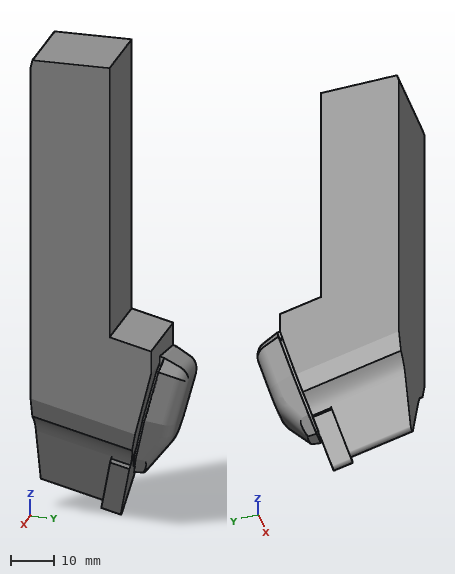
import cadquery as cq
import math

overall_length = 114.3
shank_width = 19.0
face_tilt = 14.0
tip_y = 19.1
heel_y = 28.9
step_z = 47.5

point_angle = 35.0
insert_circle_diameter = 9.5
insert_thickness = 4.8
insert_nose_radius = 0.8

point_tip = 2.1
point_radius = 0.9
neck_bottom = 15.4
neck_top = 20.0
shoulder_top = 24.8

clamp_turn = 7.0
clamp_nose = 11.9
clamp_length = 29.8
clamp_half_width = 7.8
clamp_end_half_width = 5.7
clamp_corner_start = 26.7
clamp_side_start = 14.5
clamp_nose_start = 4.0
clamp_neck_half_width = 4.6
clamp_nose_half_width = 1.8
clamp_gap = 0.7
clamp_top = 7.3
clamp_nose_height = 2.7
clamp_ramp_end = 10.3
clamp_draft = 14.0
clamp_fillet = 3.4
ramp_blend_radius = 9.1
foot_inset = 1.1
heel_length = 2.3
heel_depth = 1.7

sin_tilt = math.sin(math.radians(face_tilt))
cos_tilt = math.cos(math.radians(face_tilt))
half_point = math.radians(point_angle / 2)
half_width = shank_width / 2
shoulder_half_width = half_width - (shoulder_top - neck_top) * math.tan(half_point)
reach = 45.7


def face_plane():
    """Plane on the head's top face: x is X, y runs up the face, z points into the holder."""
    return cq.Plane(origin=(0, tip_y, 0), xDir=(1, 0, 0), normal=(0, -cos_tilt, sin_tilt))


def clamp_plane():
    """Plane on the face: y runs along the clamp from its nose, z points away from the holder."""
    turn = math.radians(clamp_turn)
    face = face_plane()
    across = face.xDir * math.cos(turn) + face.yDir * math.sin(turn)
    return cq.Plane(origin=face.toWorldCoords((0, clamp_nose)), xDir=across * -1, normal=face.zDir * -1)


def make_insert():
    half_diagonal = insert_circle_diameter / 2 / math.sin(half_point)
    side_corner = insert_circle_diameter / 2 / math.cos(half_point)
    center = half_diagonal - insert_nose_radius / math.sin(half_point) + insert_nose_radius
    diamond = (
        cq.Workplane(face_plane())
        .polyline([
            (0, center - half_diagonal),
            (side_corner, center),
            (0, center + half_diagonal),
            (-side_corner, center),
        ])
        .close()
        .extrude(insert_thickness)
    )
    acute_corners = cq.selectors.BoxSelector(
        (-insert_nose_radius, -reach, -reach),
        (insert_nose_radius, reach, reach),
    )
    return diamond.edges("#X").edges(acute_corners).fillet(insert_nose_radius)


def make_side_outline():
    heel_z = (heel_y - tip_y) / math.tan(math.radians(face_tilt))
    step_drop = (heel_y - shank_width) * math.tan(math.radians(face_tilt))
    return (
        cq.Workplane("YZ")
        .polyline([
            (0, 0),
            (tip_y, 0),
            (heel_y, heel_z),
            (heel_y, step_z - step_drop),
            (shank_width, step_z),
            (shank_width, overall_length),
            (0, overall_length),
        ])
        .close()
        .extrude(half_width, both=True)
    )


def make_pointed_prism():
    apex = point_tip + point_radius - point_radius / math.sin(half_point)
    tangent_x = point_radius * math.cos(half_point)
    tangent_y = point_tip + point_radius - point_radius * math.sin(half_point)
    neck_half_width = (neck_bottom - apex) * math.tan(half_point)
    far_end = overall_length + reach
    half = (
        cq.Workplane(face_plane())
        .moveTo(0, point_tip)
        .radiusArc((tangent_x, tangent_y), -point_radius)
        .lineTo(neck_half_width, neck_bottom)
        .tangentArcPoint((shoulder_half_width, neck_top), relative=False)
        .lineTo(half_width, shoulder_top)
        .lineTo(half_width, far_end)
        .lineTo(0, far_end)
        .close()
        .extrude(reach, both=True)
    )
    return half.union(half.mirror("YZ"))


def clamp_outline(height):
    left = [
        (-clamp_nose_half_width, 0),
        (-clamp_neck_half_width, clamp_nose_start),
        (-clamp_half_width, clamp_side_start),
        (-clamp_half_width, clamp_corner_start),
        (-clamp_end_half_width, clamp_length),
    ]
    right = [(-x, y) for x, y in reversed(left)]
    return cq.Workplane(origin=(0, 0, height)).polyline(left + right).close()


def make_ramp_cut():
    ramp_slope = (clamp_top - clamp_nose_height) / clamp_ramp_end
    upper_limit = clamp_top + ramp_slope * reach
    return (
        cq.Workplane("YZ")
        .polyline([
            (-reach, clamp_nose_height - ramp_slope * reach),
            (clamp_ramp_end + reach, upper_limit),
            (-reach, upper_limit),
        ])
        .close()
        .extrude(reach, both=True)
    )


def make_clamp_block():
    block = clamp_outline(clamp_gap).extrude(clamp_top - clamp_gap, taper=clamp_draft)
    block = block.cut(make_ramp_cut())
    block = block.faces(">Z").edges("<Y").fillet(ramp_blend_radius)
    return block.faces(">Z").edges("not <Y").fillet(clamp_fillet)


def make_clamp():
    foot = clamp_outline(0).offset2D(-foot_inset).extrude(clamp_gap)
    heel = (
        cq.Workplane(origin=(0, clamp_length, -heel_depth))
        .rect(2 * clamp_end_half_width, 2 * heel_length)
        .extrude(heel_depth + clamp_gap)
        .intersect(clamp_outline(-heel_depth).extrude(heel_depth + clamp_gap))
    )
    clamp = make_clamp_block().union(foot).union(heel)
    return cq.Workplane(clamp.val().moved(cq.Location(clamp_plane())))


def make_holder(insert):
    body = make_side_outline().intersect(make_pointed_prism())
    return body.union(make_clamp()).cut(insert)


insert = make_insert()
holder = make_holder(insert)

result = cq.Compound.makeCompound([holder.solids().val(), insert.val()])